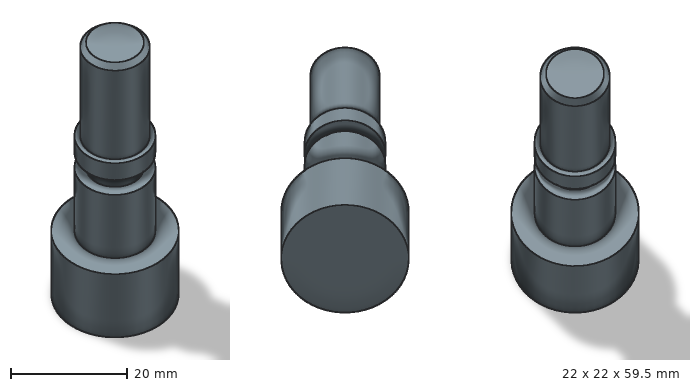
import cadquery as cq

total_length = 59.5

head_diameter = 22.0
shank_diameter = 14.0
groove_diameter = 10.0
pin_diameter = 12.0

head_height = 15.0
shank_length = 15.0
groove_width = 3.5
collar_width = 4.0
pin_length = total_length - head_height - shank_length - groove_width - collar_width
tip_chamfer = 1.0


def add_cylinder(body, diameter, length):
    """Stack a coaxial cylinder on the top face of the body."""
    return body.faces(">Z").workplane().circle(diameter / 2).extrude(length)


result = cq.Workplane("XY").circle(head_diameter / 2).extrude(head_height)
result = add_cylinder(result, shank_diameter, shank_length)
result = add_cylinder(result, groove_diameter, groove_width)
result = add_cylinder(result, shank_diameter, collar_width)
result = add_cylinder(result, pin_diameter, pin_length)

result = result.faces(">Z").edges().chamfer(tip_chamfer)